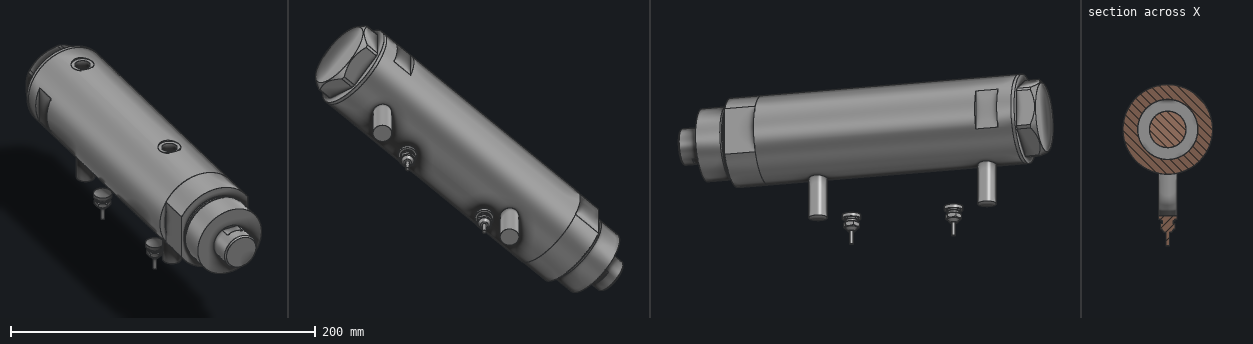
import cadquery as cq
import math


overall_length = 246.2
body_diameter = 59.0
body_radius = body_diameter / 2

hex_sides = 6
half_hex_angle = 180 / hex_sides
across_corners_ratio = 1 / math.cos(math.radians(half_hex_angle))

hex_across_flats = 46.5
hex_corner_diameter = 52.5
hex_chamfer = 3.5
hex_length = 12.8
flange_end = 15.0
cap_spigot_end = 38.0

bore_radius = 19.7
tube_end = 190.0
tube_flat_start = 24.5
tube_flat_length = 15.0
tube_across_flats = 53.0

port_positions = [35.0, 150.7]
port_diameter = 10.0
spotface_diameter = 15.0
spotface_level = 28.5

middle_x = 96.5
pin_spacing = 115.0
pin_diameter = 12.3
pin_bottom = -56.6

head_spigot_start = 152.2
head_spigot_radius = 25.9
head_end = 211.0
head_across_flats = 50.0
neck_radius = 23.5
neck_end = 212.2
groove_radius = 22.7
groove_start = 213.0
groove_end = 213.7
collar_radius = 24.1
collar_start = 214.5
collar_end = 231.0

rod_diameter = 24.1
rod_radius = rod_diameter / 2
rod_across_flats = 21.2
rod_flat_end = 238.0
rod_chamfer = 1.0

plug_spacing = 69.5
plug_bottom = -76.5
stem_radius = 1.2
stem_length = 8.9
cone_tip_radius = 2.5
cone_top_radius = 4.2
cone_height = 2.2
nut_across_flats = 9.5
nut_face_radius = 4.5
nut_height = 3.7
nut_chamfer_height = 0.7
plug_neck_radius = 3.7
plug_neck_height = 1.7
ring_radius = 4.7
ring_height = 1.0
disc_radius = pin_diameter / 2
disc_height = 2.5


def x_cylinder(radius, start, end):
    """Round bar along the cylinder axis."""
    return cq.Workplane("YZ").workplane(offset=start).circle(radius).extrude(end - start)


def z_cylinder(x, diameter, bottom, top):
    """Upright round bar that crosses the cylinder axis at x."""
    return cq.Workplane("XY", origin=(x, 0, bottom)).circle(diameter / 2).extrude(top - bottom)


def flats(start, end, across, axis):
    """The two blocks of material to remove for a pair of opposite flats facing along 'Y' or 'Z'."""
    length = end - start
    slab = cq.Workplane("XY").box(length, body_diameter, body_diameter)
    if axis == "Y":
        core = cq.Workplane("XY").box(length, across, body_diameter)
    else:
        core = cq.Workplane("XY").box(length, body_diameter, across)
    return slab.cut(core).translate(((start + end) / 2, 0, 0))


def mirrored_about_middle(spacing):
    """X positions of a pair that is symmetric about the middle of the pins."""
    return [middle_x - spacing / 2, middle_x + spacing / 2]


def make_cap():
    """End cap: chamfered hexagon with corners up and down, round flange, and spigot in the bore."""
    hex_diameter = hex_across_flats * across_corners_ratio
    hexagon = (
        cq.Workplane("YZ")
        .polygon(hex_sides, hex_diameter)
        .extrude(hex_length)
        .rotate((0, 0, 0), (1, 0, 0), half_hex_angle)
    )
    corner_turning = x_cylinder(hex_corner_diameter / 2, 0, hex_length).faces("<X").chamfer(hex_chamfer)
    flange = x_cylinder(body_radius, hex_length, flange_end)
    spigot = x_cylinder(bore_radius, flange_end, cap_spigot_end)
    return hexagon.intersect(corner_turning).union(flange).union(spigot)


def make_tube():
    """Tube counterbored for the head, with wrench flats, two spotfaced ports on top and two pins underneath."""
    tube = x_cylinder(body_radius, flange_end, tube_end)
    for x in mirrored_about_middle(pin_spacing):
        tube = tube.union(z_cylinder(x, pin_diameter, pin_bottom, 0))
    tube = tube.cut(x_cylinder(bore_radius, flange_end, tube_end))
    tube = tube.cut(x_cylinder(head_spigot_radius, head_spigot_start, tube_end))
    tube = tube.cut(flats(tube_flat_start, tube_flat_start + tube_flat_length, tube_across_flats, "Y"))
    for x in port_positions:
        tube = tube.cut(z_cylinder(x, port_diameter, 0, body_radius))
        tube = tube.cut(z_cylinder(x, spotface_diameter, spotface_level, body_radius))
    return tube


def make_head():
    """Rod-end head: spigot in the tube, flatted body, grooved neck, collar, and hole for the rod."""
    profile = [
        (head_spigot_start, rod_radius),
        (head_spigot_start, head_spigot_radius),
        (tube_end, head_spigot_radius),
        (tube_end, body_radius),
        (head_end, body_radius),
        (head_end, neck_radius),
        (neck_end, neck_radius),
        (groove_start, groove_radius),
        (groove_end, groove_radius),
        (collar_start, collar_radius),
        (collar_end, collar_radius),
        (collar_end, rod_radius),
    ]
    head = cq.Workplane("XY").polyline(profile).close().revolve(360, (0, 0, 0), (1, 0, 0))
    return head.cut(flats(tube_end, head_end, head_across_flats, "Y"))


def make_rod():
    """Rod from the cap spigot out through the head, with two flats on the part outside."""
    rod = x_cylinder(rod_radius, cap_spigot_end, overall_length).faces(">X").chamfer(rod_chamfer)
    return rod.cut(flats(collar_end, rod_flat_end, rod_across_flats, "Z"))


def make_plug(x):
    """Plug: thin stem, cone, hexagon nut chamfered at both ends, neck, ring and flat disc."""
    nut_corner_radius = nut_across_flats / 2 * across_corners_ratio
    cone_start = plug_bottom + stem_length
    nut_start = cone_start + cone_height
    nut_end = nut_start + nut_height
    plug_neck_top = nut_end + plug_neck_height
    ring_top = plug_neck_top + ring_height
    disc_top = ring_top + disc_height
    profile = [
        (0, plug_bottom),
        (stem_radius, plug_bottom),
        (stem_radius, cone_start),
        (cone_tip_radius, cone_start),
        (cone_top_radius, nut_start),
        (nut_face_radius, nut_start),
        (nut_corner_radius, nut_start + nut_chamfer_height),
        (nut_corner_radius, nut_end - nut_chamfer_height),
        (nut_face_radius, nut_end),
        (plug_neck_radius, nut_end),
        (plug_neck_radius, plug_neck_top),
        (ring_radius, plug_neck_top),
        (ring_radius, ring_top),
        (disc_radius, ring_top),
        (disc_radius, disc_top),
        (0, disc_top),
    ]
    turned = cq.Workplane("XZ").polyline(profile).close().revolve(360, (0, 0, 0), (0, 1, 0))
    outside_hexagon = (
        cq.Workplane("XY", origin=(0, 0, nut_start))
        .circle(2 * nut_corner_radius)
        .polygon(hex_sides, 2 * nut_corner_radius)
        .extrude(nut_height)
    )
    return turned.cut(outside_hexagon).translate((x, 0, 0))


cap = make_cap()
tube = make_tube()
head = make_head()
rod = make_rod()
plugs = [make_plug(x) for x in mirrored_about_middle(plug_spacing)]

result = cq.Compound.makeCompound(
    [cap.val(), tube.val(), head.val(), rod.val()] + [plug.val() for plug in plugs]
)